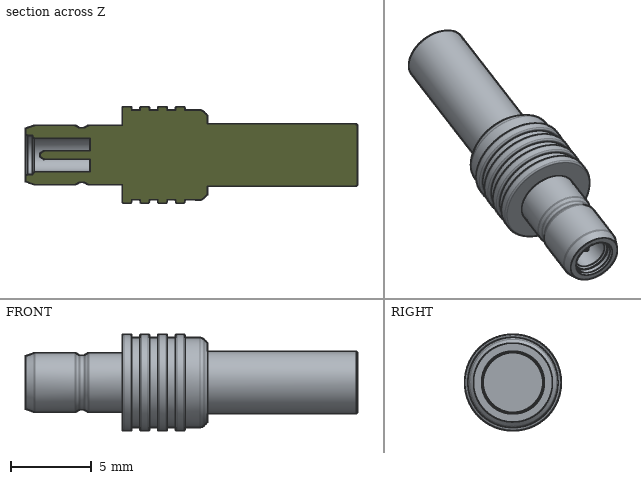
import cadquery as cq

LENGTH = 20.6
MOUTH_X = 0.0
COLLAR_START = 6.0
COLLAR_END = 11.3

EDGE_TOLERANCE = 0.01

BARREL_RADIUS = 1.85
TIP_RADIUS = 1.65
TIP_TAPER_LENGTH = 0.55
GROOVE_START = 3.1
GROOVE_WIDTH = 0.8
GROOVE_DEPTH = 0.15
GROOVE_FLANK = 0.25
GROOVE_BLEND_RADIUS = 0.1
TAPER_BLEND_RADIUS = 0.2

COLLAR_RADIUS = 2.8
RING_RADIUS = 3.0
RING_COUNT = 4
RING_WIDTH = 0.6
RING_PITCH = 1.1
RING_EDGE_RADIUS = 0.1
COLLAR_CHAMFER = 0.35
COLLAR_BLEND_RADIUS = 0.35

TAIL_RADIUS = 1.95
TAIL_CHAMFER = 0.1

MOUTH_RADIUS = 1.28
MOUTH_TAPER_LENGTH = 0.14
LEAD_IN_RADIUS = 1.2
LEAD_IN_DEPTH = 0.44
LEDGE_WIDTH = 0.05
BORE_RADIUS = 1.03
BORE_DEPTH = 4.0

PIN_RADIUS = 0.28
PIN_TIP_RADIUS = 0.1
PIN_TIP_LENGTH = 0.25
PIN_START = 0.9


def revolve_profile(points):
    """Turn a closed (x, radius) outline around the X axis."""
    return cq.Workplane("XY").polyline(points).close().revolve(360, (0, 0, 0), (1, 0, 0))


def round_edges(solid, start, end, radius):
    """Fillet the circular edges whose X position lies from start to end."""
    slab = cq.selectors.BoxSelector(
        (start - EDGE_TOLERANCE, -RING_RADIUS, -RING_RADIUS),
        (end + EDGE_TOLERANCE, RING_RADIUS, RING_RADIUS),
    )
    return solid.edges("%CIRCLE").edges(slab).fillet(radius)


def make_barrel():
    """Tapered barrel with a snap groove that has sloped, softened flanks."""
    taper_end = MOUTH_X + TIP_TAPER_LENGTH
    groove_end = GROOVE_START + GROOVE_WIDTH
    groove_radius = BARREL_RADIUS - GROOVE_DEPTH
    barrel = revolve_profile([
        (MOUTH_X, 0),
        (MOUTH_X, TIP_RADIUS),
        (taper_end, BARREL_RADIUS),
        (GROOVE_START, BARREL_RADIUS),
        (GROOVE_START + GROOVE_FLANK, groove_radius),
        (groove_end - GROOVE_FLANK, groove_radius),
        (groove_end, BARREL_RADIUS),
        (COLLAR_START, BARREL_RADIUS),
        (COLLAR_START, 0),
    ])
    barrel = round_edges(barrel, taper_end, taper_end, TAPER_BLEND_RADIUS)
    return round_edges(barrel, GROOVE_START, groove_end, GROOVE_BLEND_RADIUS)


def make_cylinder(start, end, radius):
    """Solid cylinder on the X axis."""
    return cq.Workplane("YZ", origin=(start, 0, 0)).circle(radius).extrude(end - start)


def make_collar():
    """Collar with rounded rings and a softened chamfer at its tail end."""
    collar = make_cylinder(COLLAR_START, COLLAR_END, COLLAR_RADIUS)
    collar = collar.faces(">X").edges().chamfer(COLLAR_CHAMFER)
    chamfer_start = COLLAR_END - COLLAR_CHAMFER
    collar = round_edges(collar, chamfer_start, chamfer_start, COLLAR_BLEND_RADIUS)
    for index in range(RING_COUNT):
        start = COLLAR_START + index * RING_PITCH
        ring = make_cylinder(start, start + RING_WIDTH, RING_RADIUS)
        collar = collar.union(ring.edges("%CIRCLE").fillet(RING_EDGE_RADIUS))
    return collar


def make_tail():
    """Plain sleeve behind the collar."""
    tail = make_cylinder(COLLAR_END, LENGTH, TAIL_RADIUS)
    return tail.faces(">X").edges().chamfer(TAIL_CHAMFER)


def make_bore():
    """Blind socket bore with a tapered mouth, a lead-in and a chamfered ledge."""
    ledge_radius = LEAD_IN_RADIUS - LEDGE_WIDTH
    return revolve_profile([
        (MOUTH_X, 0),
        (MOUTH_X, MOUTH_RADIUS),
        (MOUTH_X + MOUTH_TAPER_LENGTH, LEAD_IN_RADIUS),
        (LEAD_IN_DEPTH, LEAD_IN_RADIUS),
        (LEAD_IN_DEPTH, ledge_radius),
        (LEAD_IN_DEPTH + ledge_radius - BORE_RADIUS, BORE_RADIUS),
        (BORE_DEPTH, BORE_RADIUS),
        (BORE_DEPTH, 0),
    ])


def make_pin():
    """Centre contact pin with a conical tip."""
    return revolve_profile([
        (PIN_START, 0),
        (PIN_START, PIN_TIP_RADIUS),
        (PIN_START + PIN_TIP_LENGTH, PIN_RADIUS),
        (BORE_DEPTH, PIN_RADIUS),
        (BORE_DEPTH, 0),
    ])


body = make_barrel().union(make_collar()).union(make_tail())
result = body.cut(make_bore()).union(make_pin())